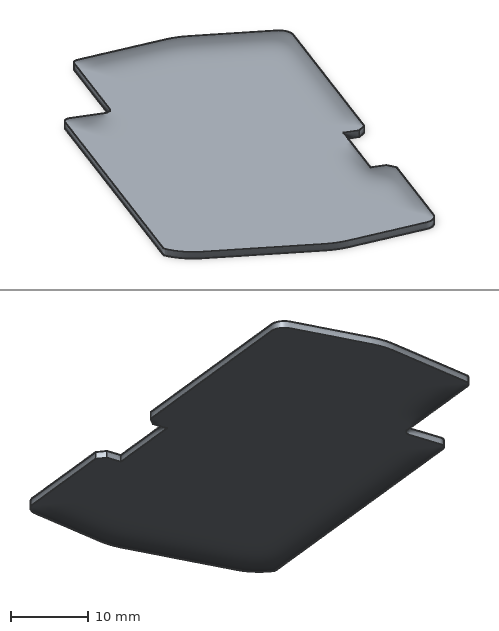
import cadquery as cq
import math

length = 65.4
width = 36.35
thickness = 1.0

side_slope = math.tan(math.radians(10))
bulge_radius = 9.15
bulge_y = 21.85

top_corner_radius = 1.95
step_radius = 1.0
lower_right_radius = 7.5
cut_corner_radius = 0.5

step_x = -13.9
step_height = 6.75

notch_left = 1.45
notch_width = 11.05
notch_depth = 3.2
notch_chamfer = 1.05

corner_cut_x = 27.35

bulge_overshoot = bulge_radius * (math.hypot(1, side_slope) - 1)
apex_x = length / 2 + bulge_overshoot


def side_x(y):
    """Distance from the centre line to a straight side at height y."""
    return apex_x - abs(y - bulge_y) * side_slope


corner_cut_rise = (side_x(0) - corner_cut_x) / (1 - side_slope)
corner_cut_start = (corner_cut_x, 0)
corner_cut_end = (corner_cut_x + corner_cut_rise, corner_cut_rise)

top_left = (-side_x(width), width)
top_right = (side_x(width), width)
left_apex = (-apex_x, bulge_y)
right_apex = (apex_x, bulge_y)
step_outer = (-side_x(step_height), step_height)
step_inner = (step_x, step_height)
step_bottom = (step_x, 0)

outline = [
    step_bottom,
    corner_cut_start,
    corner_cut_end,
    right_apex,
    top_right,
    top_left,
    left_apex,
    step_outer,
    step_inner,
]
plate = cq.Workplane("XY").polyline(outline).close().extrude(thickness)


def round_corners(body, corners, radius):
    """Fillet the upright edges standing at the given outline corners."""
    for x, y in corners:
        edge = cq.selectors.NearestToPointSelector((x, y, thickness / 2))
        body = body.edges("|Z").edges(edge).fillet(radius)
    return body


plate = round_corners(plate, [left_apex, right_apex], bulge_radius)
plate = round_corners(plate, [top_left, top_right], top_corner_radius)
plate = round_corners(plate, [step_outer, step_inner, step_bottom], step_radius)
plate = round_corners(plate, [corner_cut_end], lower_right_radius)
plate = round_corners(plate, [corner_cut_start], cut_corner_radius)

notch_right = notch_left + notch_width
notch_floor = width - notch_depth
chamfer_start = width - notch_chamfer
notch = (
    cq.Workplane("XY")
    .polyline([
        (notch_left, notch_floor),
        (notch_right, notch_floor),
        (notch_right, chamfer_start),
        (notch_right + notch_chamfer, width),
        (notch_left - notch_chamfer, width),
        (notch_left, chamfer_start),
    ])
    .close()
    .extrude(thickness)
)

result = plate.cut(notch).translate((0, -width / 2, -thickness / 2))